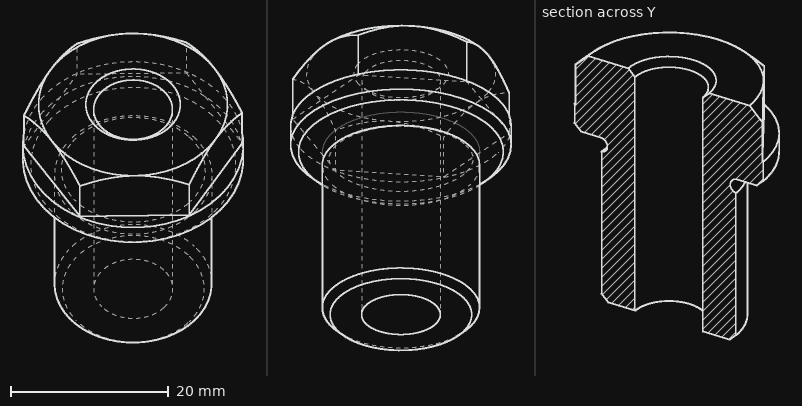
import cadquery as cq
import math

total_height = 35.5
hex_height = 7.7
flange_height = 3.85
undercut_height = 2.0
flange_top = total_height - hex_height
flange_bottom = flange_top - flange_height
shank_top = flange_bottom - undercut_height

flange_radius = 28.0 / 2
shank_radius = 20.0 / 2
neck_radius = 18.3 / 2
bore_radius = 10.0 / 2

across_flats = 24.0
across_corners = across_flats / math.cos(math.pi / 6)

edge_chamfer = 1.0


def turned_body():
    """Shank, rounded undercut and flange as one revolved profile."""
    undercut_middle = shank_top + undercut_height / 2
    profile = (
        cq.Workplane("XZ")
        .lineTo(shank_radius - edge_chamfer, 0)
        .lineTo(shank_radius, edge_chamfer)
        .lineTo(shank_radius, shank_top)
        .threePointArc((neck_radius, undercut_middle), (shank_radius, flange_bottom))
        .lineTo(flange_radius - edge_chamfer, flange_bottom)
        .lineTo(flange_radius, flange_bottom + edge_chamfer)
        .lineTo(flange_radius, flange_top)
        .lineTo(0, flange_top)
        .close()
    )
    return profile.revolve(360, (0, 0, 0), (0, 1, 0))


def hex_head():
    """Hexagon whose corners are trimmed by a 45 degree cone from the top circle."""
    prism = (
        cq.Workplane("XY")
        .workplane(offset=flange_top)
        .polygon(6, across_corners)
        .extrude(hex_height)
    )
    top_radius = across_flats / 2
    trimming_cone = (
        cq.Workplane("XZ")
        .moveTo(0, flange_top)
        .lineTo(top_radius + hex_height, flange_top)
        .lineTo(top_radius, total_height)
        .lineTo(0, total_height)
        .close()
        .revolve(360, (0, 0, 0), (0, 1, 0))
    )
    return prism.intersect(trimming_cone)


def bore_cutter():
    """Through bore with a countersunk mouth in the head."""
    mouth_radius = bore_radius + edge_chamfer
    profile = (
        cq.Workplane("XZ")
        .lineTo(bore_radius, 0)
        .lineTo(bore_radius, total_height - edge_chamfer)
        .lineTo(mouth_radius, total_height)
        .lineTo(0, total_height)
        .close()
    )
    return profile.revolve(360, (0, 0, 0), (0, 1, 0))


result = turned_body().union(hex_head()).cut(bore_cutter())